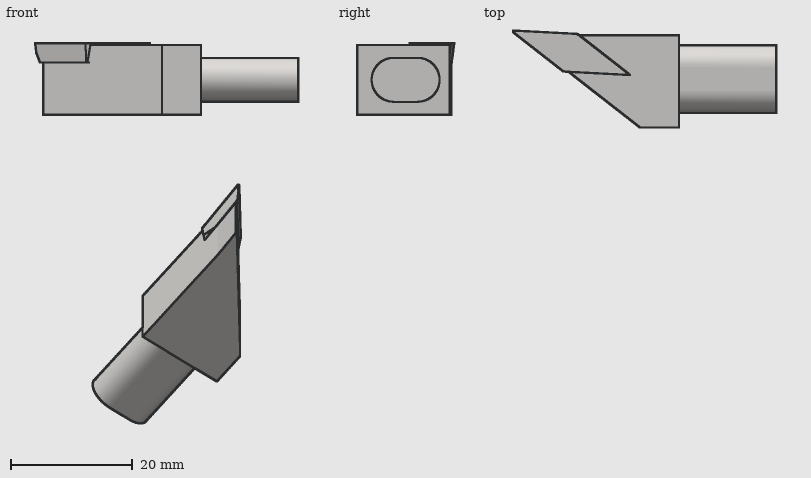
import cadquery as cq
import math

total_length = 43.3
overall_width = 16.0
overall_height = 11.8

insert_side = 11.05
insert_thickness = 3.2
tip_angle = 35.0
lead_angle = 3.0
clearance_angle = 7.0
tip_flat_width = 0.3

head_height = 11.5
head_right = 27.3
head_left = 1.35
nose_flat_width = 0.2
head_back = 15.2
flank_foot_x = 20.88

shank_width = 11.17
shank_height = 7.25
shank_center_y = 7.95

lead_slope = math.tan(math.radians(lead_angle))
flank_angle = lead_angle + tip_angle
flank_slope = math.tan(math.radians(flank_angle))


def point_along(start, angle, length):
    """Return the point reached from start, heading the given angle below +X."""
    heading = math.radians(angle)
    return (start[0] + length * math.cos(heading), start[1] - length * math.sin(heading))


tip_overhang = tip_flat_width / (flank_slope - lead_slope)
left_tip = (-tip_overhang, overall_width + tip_overhang * lead_slope)
back_corner = point_along(left_tip, lead_angle, insert_side)
front_corner = point_along(left_tip, flank_angle, insert_side)
right_tip = point_along(back_corner, flank_angle, insert_side)


def make_tapered_rhombus():
    """Insert shape with sharp tips, also the shape of its seat."""
    return (
        cq.Workplane("XY", origin=(0, 0, overall_height))
        .polyline([left_tip, back_corner, right_tip, front_corner])
        .close()
        .extrude(-insert_thickness, taper=clearance_angle)
    )


def make_insert():
    """Rhombic insert with both acute tips cut flat at the clearance angle."""
    flat_right = right_tip[0] - tip_overhang
    flat_setback = insert_thickness * math.tan(math.radians(clearance_angle))
    seat_z = overall_height - insert_thickness
    tip_limits = (
        cq.Workplane("XZ")
        .polyline([
            (0, overall_height),
            (flat_right, overall_height),
            (flat_right - flat_setback, seat_z),
            (flat_setback, seat_z),
        ])
        .close()
        .extrude(-overall_width)
    )
    return make_tapered_rhombus().intersect(tip_limits)


def make_head():
    """Wedge-shaped head with a narrow flat nose; its back edge rises slightly toward the nose."""
    nose_front_y = (flank_foot_x - head_left) * flank_slope
    nose_back_y = nose_front_y + nose_flat_width
    back_bend_x = head_left + (nose_back_y - head_back) / lead_slope
    return (
        cq.Workplane("XY")
        .polyline([
            (flank_foot_x, 0),
            (head_right, 0),
            (head_right, head_back),
            (back_bend_x, head_back),
            (head_left, nose_back_y),
            (head_left, nose_front_y),
        ])
        .close()
        .extrude(head_height)
    )


def make_shank():
    """Obround shank at mid-height of the head."""
    return (
        cq.Workplane("YZ", origin=(head_right, shank_center_y, head_height / 2))
        .slot2D(shank_width, shank_height)
        .extrude(total_length - head_right)
    )


def make_holder():
    """Head and shank in one piece, with a sharp-cornered seat for the insert."""
    return make_head().union(make_shank()).cut(make_tapered_rhombus())


insert = make_insert()
holder = make_holder()

result = cq.Compound.makeCompound([*holder.solids().vals(), *insert.solids().vals()])